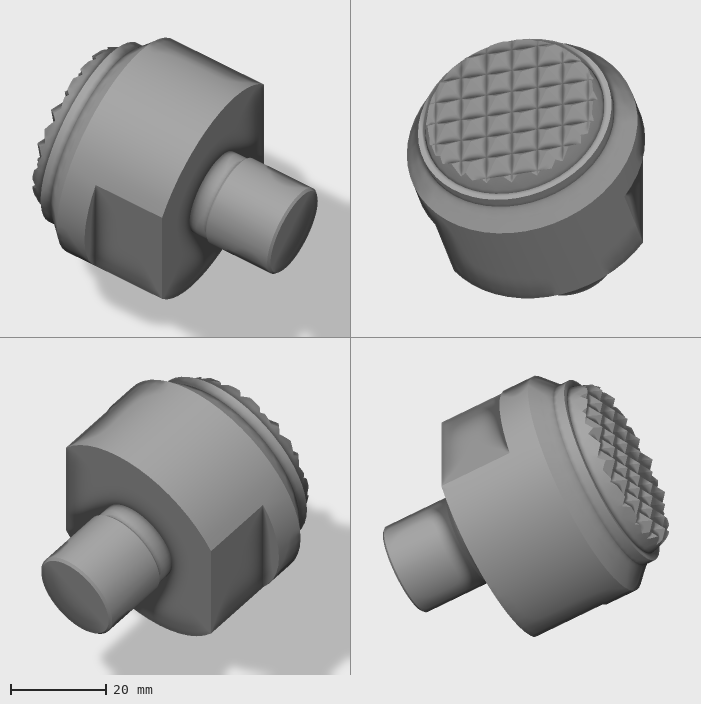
import cadquery as cq
import math

total_length = 55.0

head_diameter = 50.0
head_bevel = 4.0
collar_diameter = head_diameter - 2 * head_bevel
collar_front = 5.3
collar_length = 2.5
bevel_start = collar_front + collar_length
bevel_end = bevel_start + head_bevel
stud_length = 20.0
head_back = total_length - stud_length
stud_diameter = 20.0
neck_diameter = 19.0
stud_chamfer = (stud_diameter - neck_diameter) / 2
neck_length = 4.0

flat_spacing = 41.0
flat_length = 16.4

ball_radius = 20.0
ball_center_x = 10.1
tooth_pitch = 5.5
tooth_depth = tooth_pitch / 2


def make_ball():
    """Full sphere, turned about the X axis."""
    return (
        cq.Workplane("XY")
        .moveTo(ball_center_x - ball_radius, 0)
        .threePointArc((ball_center_x, ball_radius), (ball_center_x + ball_radius, 0))
        .close()
        .revolve(360, (0, 0, 0), (1, 0, 0))
    )


def make_groove():
    """V-groove cutter running along Y, open toward -X, with its root on Z = 0."""
    half_width = tooth_pitch / 2
    groove_length = 2 * ball_radius
    return (
        cq.Workplane("XZ")
        .polyline([(0, -half_width), (tooth_depth, 0), (0, half_width)])
        .close()
        .extrude(groove_length / 2, both=True)
    )


def make_gripper_ball():
    """Ball cut flat at the tooth tips, then grooved in two directions into pyramids."""
    front_box = (
        cq.Workplane("XY").box(ball_radius, 2 * ball_radius, 2 * ball_radius)
        .translate((-ball_radius / 2, 0, 0))
    )
    ball = make_ball().cut(front_box)
    grooves_per_side = math.floor(ball_radius / tooth_pitch)
    for index in range(-grooves_per_side, grooves_per_side + 1):
        groove = make_groove().translate((0, 0, index * tooth_pitch))
        ball = ball.cut(groove)
        ball = ball.cut(groove.rotate((0, 0, 0), (1, 0, 0), 90))
    return ball


def make_turned_blank():
    """Collar, bevelled head, neck and chamfered stud as one turned profile."""
    head_radius = head_diameter / 2
    collar_radius = collar_diameter / 2
    neck_radius = neck_diameter / 2
    stud_radius = stud_diameter / 2
    neck_end = head_back + neck_length
    profile = [
        (collar_front, 0),
        (collar_front, collar_radius),
        (bevel_start, collar_radius),
        (bevel_end, head_radius),
        (head_back, head_radius),
        (head_back, neck_radius),
        (neck_end, neck_radius),
        (neck_end + stud_chamfer, stud_radius),
        (total_length - stud_chamfer, stud_radius),
        (total_length, neck_radius),
        (total_length, 0),
    ]
    return (
        cq.Workplane("XY").polyline(profile).close()
        .revolve(360, (0, 0, 0), (1, 0, 0))
    )


def make_flat_cutter(side):
    """Block that leaves a wrench flat on the +Y (side = 1) or -Y (side = -1) side."""
    cut_depth = (head_diameter - flat_spacing) / 2
    center_y = side * (flat_spacing + cut_depth) / 2
    return (
        cq.Workplane("XY").box(flat_length, cut_depth, head_diameter)
        .translate((head_back - flat_length / 2, center_y, 0))
    )


def make_housing():
    """Turned blank with two wrench flats and a spherical socket for the ball."""
    housing = make_turned_blank()
    for side in (-1, 1):
        housing = housing.cut(make_flat_cutter(side))
    return housing.cut(make_ball())


housing = make_housing()
gripper_ball = make_gripper_ball()
result = cq.Compound.makeCompound([housing.val(), gripper_ball.val()])